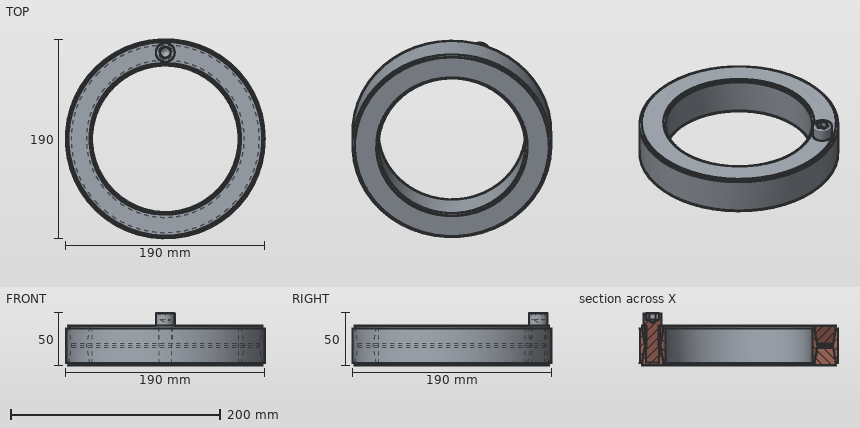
import cadquery as cq
import math

OUTER_DIAMETER = 190.0
BORE_DIAMETER = 140.0
STACK_HEIGHT = 38.0
WEDGE_PROTRUSION = 2.5
WEDGE_SETBACK = 2.0
TAPER_ANGLE = 10.0
WEDGE_GAP = 3.8

HEAD_DIAMETER = 18.0
HEAD_HEIGHT = 12.0
HEAD_FILLET = 1.1
SOCKET_ACROSS_FLATS = 10.0
SOCKET_DEPTH = 6.0
SOCKET_CONE_ANGLE = 120.0
SHANK_DIAMETER = 12.0
SHANK_LENGTH = 35.0
CLEARANCE_DIAMETER = 13.5

outer_radius = OUTER_DIAMETER / 2
bore_radius = BORE_DIAMETER / 2
middle_z = STACK_HEIGHT / 2
ring_bottom_z = WEDGE_PROTRUSION
ring_top_z = STACK_HEIGHT - WEDGE_PROTRUSION
wedge_height = (STACK_HEIGHT - WEDGE_GAP) / 2
screw_y = (outer_radius + bore_radius) / 2


def flank_setback(depth):
    """Radial distance from the outer wall or bore to the flank, at a depth below a wedge's face."""
    return WEDGE_SETBACK + depth * math.tan(math.radians(TAPER_ANGLE))


def revolved(points):
    """Solid of revolution about Z from a closed outline of (radius, z) points."""
    return cq.Workplane("XZ").polyline(points).close().revolve(360, (0, 0), (0, 1))


def screw_cylinder(diameter, base_z, height):
    """Cylinder on the screw's axis."""
    return cq.Workplane("XY", origin=(0, screw_y, base_z)).circle(diameter / 2).extrude(height)


def make_tapered_ring(wall_radius, inward):
    """Ring with one straight wall and a V-shaped wall; inward is -1 or +1, from wall to wedges."""
    end_radius = wall_radius + inward * flank_setback(WEDGE_PROTRUSION)
    middle_radius = wall_radius + inward * flank_setback(middle_z)
    return revolved([
        (wall_radius, ring_bottom_z),
        (end_radius, ring_bottom_z),
        (middle_radius, middle_z),
        (end_radius, ring_top_z),
        (wall_radius, ring_top_z),
    ])


def make_wedge_ring(face_z, narrow_z):
    """Ring that narrows along both flanks from its exposed face to its end inside the set."""
    narrow_setback = flank_setback(wedge_height)
    return revolved([
        (bore_radius + WEDGE_SETBACK, face_z),
        (outer_radius - WEDGE_SETBACK, face_z),
        (outer_radius - narrow_setback, narrow_z),
        (bore_radius + narrow_setback, narrow_z),
    ])


def make_socket():
    """Cutter for the hexagon socket: corners on +Y and -Y, conical floor, mouth at Z = 0."""
    corner_diameter = SOCKET_ACROSS_FLATS / math.cos(math.pi / 6)
    cone_radius = SOCKET_ACROSS_FLATS / 2
    cone_depth = cone_radius / math.tan(math.radians(SOCKET_CONE_ANGLE / 2))
    hexagon = (
        cq.Workplane("XY")
        .transformed(rotate=(0, 0, 90))
        .polygon(6, corner_diameter)
        .extrude(-SOCKET_DEPTH)
    )
    cone = cq.Workplane(
        cq.Solid.makeCone(cone_radius, 0, cone_depth, pnt=(0, 0, -SOCKET_DEPTH), dir=(0, 0, -1))
    )
    return hexagon.union(cone)


def make_shank():
    return screw_cylinder(SHANK_DIAMETER, STACK_HEIGHT, -SHANK_LENGTH)


def make_screw():
    head = screw_cylinder(HEAD_DIAMETER, STACK_HEIGHT, HEAD_HEIGHT)
    head = head.faces(">Z").edges().fillet(HEAD_FILLET)
    head = head.cut(make_socket().translate((0, screw_y, STACK_HEIGHT + HEAD_HEIGHT)))
    return head.union(make_shank())


outer_ring = make_tapered_ring(outer_radius, inward=-1)
inner_ring = make_tapered_ring(bore_radius, inward=1)
screw = make_screw()

top_wedge = make_wedge_ring(STACK_HEIGHT, STACK_HEIGHT - wedge_height)
top_wedge = top_wedge.cut(screw_cylinder(CLEARANCE_DIAMETER, STACK_HEIGHT, -wedge_height))
bottom_wedge = make_wedge_ring(0, wedge_height).cut(make_shank())

result = cq.Compound.makeCompound(
    [outer_ring.val(), inner_ring.val(), top_wedge.val(), bottom_wedge.val(), screw.val()]
)